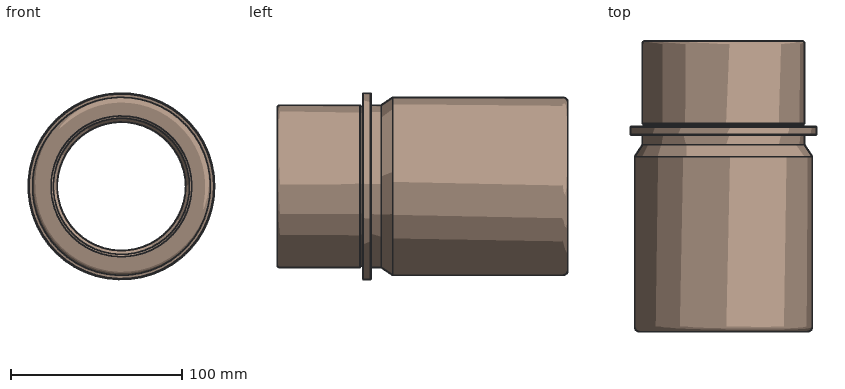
import cadquery as cq

length = 170.0
front_y = -length / 2
back_y = length / 2

body_radius = 104.0 / 2
neck_radius = 95.0 / 2
collar_radius = 109.0 / 2
bore_radius = 75.0 / 2

groove_start = 49.0
collar_start = 50.0
neck_length = 60.9
cone_end = 67.7

collar_width = 5.1
groove_depth = 0.7
groove_chamfer = 0.7
collar_chamfer = 0.5
front_fillet = 3.0
back_fillet = 1.7

mouth_radius = 39.8
mouth_depth = 3.0
mouth_bevel_width = 1.4
mouth_bevel_depth = 0.5


def disc(radius, start, end):
    """Solid cylinder between two distances from the back face."""
    return (
        cq.Workplane("XZ", origin=(0, back_y - start, 0))
        .circle(radius)
        .extrude(end - start)
    )


def cone(base_radius, tip_radius, start_y, end_y):
    """Solid frustum along Y."""
    return (
        cq.Workplane("XY")
        .moveTo(0, start_y)
        .lineTo(base_radius, start_y)
        .lineTo(tip_radius, end_y)
        .lineTo(0, end_y)
        .close()
        .revolve(360, (0, 0, 0), (0, 1, 0))
    )


spigot = (
    disc(neck_radius, 0, groove_start)
    .faces(">Y").edges().fillet(back_fillet)
    .faces("<Y").edges().chamfer(groove_chamfer)
)

groove = disc(neck_radius - groove_depth, groove_start, collar_start)
collar = disc(collar_radius, collar_start, collar_start + collar_width).edges().chamfer(collar_chamfer)

neck = disc(neck_radius, collar_start + collar_width, neck_length)
shoulder = cone(neck_radius, body_radius, back_y - neck_length, back_y - cone_end)
body = disc(body_radius, cone_end, length).faces("<Y").edges().fillet(front_fillet)

outside = spigot.union(groove).union(collar).union(neck).union(shoulder).union(body)

bore = disc(bore_radius, 0, length)
bevel_y = front_y + mouth_bevel_depth
flare = cone(mouth_radius, bore_radius, bevel_y, front_y + mouth_depth)
bevel = cone(mouth_radius + mouth_bevel_width, mouth_radius, front_y, bevel_y)

result = outside.cut(bore).cut(flare).cut(bevel)